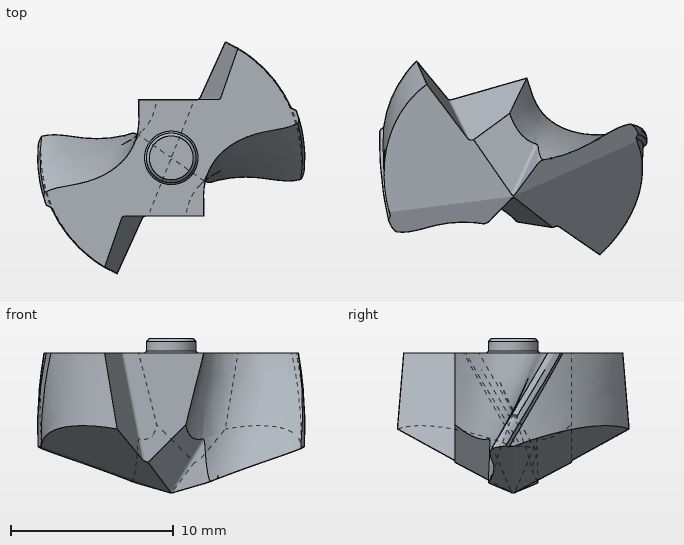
import cadquery as cq
import math

point_depth = 8.61
pin_height = 0.89

land_radius = 8.2
body_radius = 7.87
twist_rate = 4.207
land_middle_angle = 18.0
rim_middle_angle = 60.0
land_lead = (7.77, 2.12)
land_step_top = (7.66, 2.92)
land_step_root = (7.38, 3.05)
flute_end_x = 2.21
flute_points = [(7.12, 1.87), (5.63, 1.57), (3.53, 0.67), (2.67, -0.16), (2.16, -1.15), (1.98, -2.51), (2.03, -3.94)]

block_half_width = 3.58
pocket_corner_x = 3.0
pocket_rim = (4.1, 6.74)
pocket_lean = 0.195
pocket_fillet = 0.2

edge_slope = 0.36
lip_clearance = 0.1
heel_clearance = 0.386
gash_slope_x = 1.0
gash_slope_y = 0.926

gash_bend = (1.98, -1.4)
gash_exit = (2.87, -1.35)
gash_fillet = 0.2

pin_radius = 1.53
pin_base_radius = 1.64
pin_base_height = 0.11
pin_chamfer = 0.18

block_size = 65.6
tip = (0, 0, -point_depth)


def opposite(point):
    """Turn a section point half a turn about the axis."""
    return (-point[0], -point[1])


def half_turn(solid):
    return solid.rotate((0, 0, 0), (0, 0, 1), 180)


def half_space(point, normal):
    """A large block filling the side of a plane that its normal points to."""
    plane = cq.Plane(origin=point, normal=normal)
    return cq.Workplane(plane).rect(block_size, block_size).extrude(block_size)


def below(slope_x, slope_y):
    """Space under the plane through the tip that rises with the given slopes."""
    return half_space(tip, (slope_x, slope_y, -1))


def twisted_body():
    angle = math.radians(land_middle_angle)
    land_middle = (land_radius * math.cos(angle), land_radius * math.sin(angle))
    rim_angle = math.radians(rim_middle_angle)
    rim_middle = (body_radius * math.cos(rim_angle), body_radius * math.sin(rim_angle))
    flute_end = (flute_end_x, -math.sqrt(body_radius**2 - flute_end_x**2))

    section = cq.Workplane("XY").moveTo(*land_lead)
    for side in (lambda p: p, opposite):
        far_end = opposite(side(flute_end))
        flute = [opposite(side(p)) for p in reversed(flute_points)]
        section = (
            section.threePointArc(side(land_middle), side(land_step_top))
            .lineTo(*side(land_step_root))
            .threePointArc(side(rim_middle), far_end)
            .spline(flute + [opposite(side(land_lead))], includeCurrent=True)
        )
    turn = twist_rate * point_depth
    body = section.close().twistExtrude(point_depth, turn)
    body = body.rotate((0, 0, 0), (0, 0, 1), -turn).translate(tip)
    envelope = cq.Workplane("XY").circle(land_radius).extrude(-point_depth)
    return body.intersect(envelope)


def pocket():
    """Space between the flat block side and the leaning wall of the -X lobe."""
    corner = (-pocket_corner_x, -block_half_width, 0)
    wall_slope = (pocket_rim[0] - pocket_corner_x) / (pocket_rim[1] - block_half_width)
    space = half_space(corner, (0, -1, 0)).intersect(half_space(corner, (1, -wall_slope, pocket_lean)))
    return space.edges(cq.selectors.NearestToPointSelector(corner)).fillet(pocket_fillet)


def gash():
    """Groove that thins the web at the tip, with a sloped floor and an upright wall."""
    reach = block_size / 4
    back = reach / gash_bend[0]
    wall_start = (-gash_bend[0] * back, -gash_bend[1] * back)
    outline = (
        cq.Workplane("XY", origin=(0, 0, -reach))
        .moveTo(*wall_start)
        .lineTo(*gash_bend)
        .tangentArcPoint(gash_exit, relative=False)
        .lineTo(gash_exit[0], -reach)
        .lineTo(wall_start[0], -reach)
        .close()
    )
    space = outline.extrude(2 * reach).intersect(below(gash_slope_x, -gash_slope_y))
    return space.edges(cq.selectors.NearestToPointSelector(tip)).fillet(gash_fillet)


def pin():
    top_radius = pin_radius - pin_chamfer
    return (
        cq.Workplane("XZ")
        .moveTo(0, -pin_base_height)
        .lineTo(pin_base_radius, -pin_base_height)
        .lineTo(pin_base_radius, 0)
        .lineTo(pin_radius, pin_base_height)
        .lineTo(pin_radius, pin_height - pin_chamfer)
        .lineTo(top_radius, pin_height)
        .lineTo(0, pin_height)
        .close()
        .revolve(360, (0, 0, 0), (0, 1, 0))
    )


result = twisted_body()
cutters = [below(edge_slope, heel_clearance), below(edge_slope, lip_clearance), pocket(), gash()]
for cutter in cutters:
    result = result.cut(cutter).cut(half_turn(cutter))
result = result.union(pin())